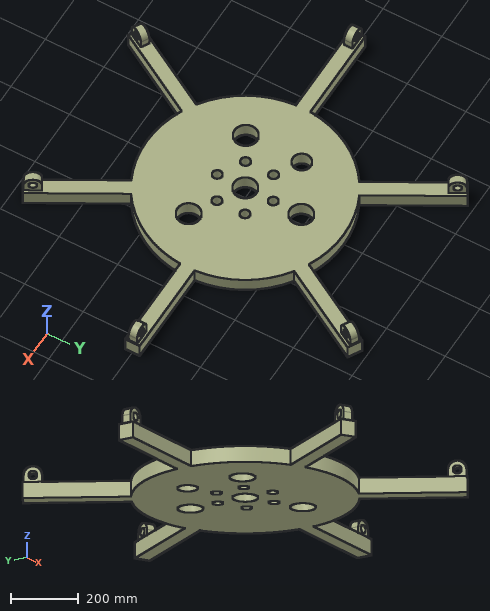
import cadquery as cq

span = 1310.0
thickness = 50.0
disc_radius = 337.0
arm_count = 6
arm_width = 50.0

large_hole_diameter = 76.0
medium_hole_diameter = 60.0
small_hole_diameter = 31.0
outer_hole_radius = 191.0
inner_hole_radius = outer_hole_radius / 2
large_hole_angles = (90, 210, 330)
medium_hole_angle = 150
small_hole_count = 6
small_hole_start_angle = 30

total_height = 102.0
lug_length = 55.0
lug_thickness = 29.0
lug_hole_diameter = 25.0
lug_tip_gap = 3.0
lug_radius = lug_length / 2
lug_center_x = span / 2 - lug_tip_gap - lug_radius
lug_hole_z = total_height - lug_radius


def make_body():
    """Disc with arms that run straight through its centre."""
    body = cq.Workplane("XY").circle(disc_radius).extrude(thickness)
    for i in range(arm_count // 2):
        beam = cq.Workplane("XY").rect(span, arm_width).extrude(thickness)
        body = body.union(beam.rotate((0, 0, 0), (0, 0, 1), i * 360 / arm_count))
    return body


def make_lug():
    """Round-topped lug with a cross hole, on the arm along +X."""
    return (
        cq.Workplane("XZ")
        .moveTo(lug_center_x - lug_radius, thickness)
        .lineTo(lug_center_x - lug_radius, lug_hole_z)
        .threePointArc((lug_center_x, total_height), (lug_center_x + lug_radius, lug_hole_z))
        .lineTo(lug_center_x + lug_radius, thickness)
        .close()
        .moveTo(lug_center_x, lug_hole_z)
        .circle(lug_hole_diameter / 2)
        .extrude(lug_thickness / 2, both=True)
    )


def hole_tool(diameter, radius, angle):
    """Cylinder through the disc at a polar position."""
    tool = cq.Workplane("XY").center(radius, 0).circle(diameter / 2).extrude(thickness)
    return tool.rotate((0, 0, 0), (0, 0, 1), angle)


result = make_body()

for i in range(arm_count):
    result = result.union(make_lug().rotate((0, 0, 0), (0, 0, 1), i * 360 / arm_count))

result = result.cut(hole_tool(large_hole_diameter, 0, 0))
for angle in large_hole_angles:
    result = result.cut(hole_tool(large_hole_diameter, outer_hole_radius, angle))
result = result.cut(hole_tool(medium_hole_diameter, outer_hole_radius, medium_hole_angle))
for i in range(small_hole_count):
    angle = small_hole_start_angle + i * 360 / small_hole_count
    result = result.cut(hole_tool(small_hole_diameter, inner_hole_radius, angle))